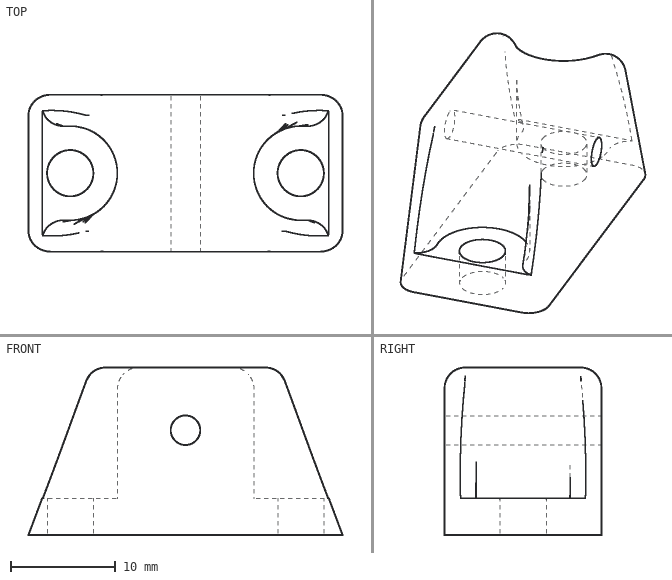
import cadquery as cq

length = 30.0
width = 15.0
height = 16.0
top_length = 18.0
edge_radius = 2.0

screw_spacing = 22.0
screw_hole_diameter = 4.4
pocket_diameter = 9.0
floor_height = 3.5

cross_hole_diameter = 2.8
cross_hole_height = 10.0

wide_width = 2 * width

screw_positions = [(-screw_spacing / 2, 0), (screw_spacing / 2, 0)]


def make_block(block_width):
    """Trapezoid in XZ, extruded symmetrically along Y."""
    outline = [
        (-length / 2, 0),
        (length / 2, 0),
        (top_length / 2, height),
        (-top_length / 2, height),
    ]
    return cq.Workplane("XZ").polyline(outline).close().extrude(block_width / 2, both=True)


def make_rounded_block():
    """Outer shape with every edge rounded except those of the bottom face."""
    return make_block(width).edges("not <Z").fillet(edge_radius)


def make_pocketed_block():
    """Wide block with a pocket at each end and every edge above the floors rounded."""
    pockets = (
        cq.Workplane("XY", origin=(0, 0, floor_height))
        .pushPoints(screw_positions)
        .circle(pocket_diameter / 2)
        .extrude(height - floor_height)
    )
    edges_above_floor = cq.selectors.BoxSelector(
        (-length / 2, -wide_width, floor_height + edge_radius),
        (length / 2, wide_width, height + edge_radius),
    )
    return make_block(wide_width).cut(pockets).edges(edges_above_floor).fillet(edge_radius)


def make_screw_holes():
    """Vertical holes on the pocket axes, through the pocket floors."""
    return cq.Workplane("XY").pushPoints(screw_positions).circle(screw_hole_diameter / 2).extrude(height)


def make_cross_hole():
    """Hole along Y, through both side faces."""
    return (
        cq.Workplane("XZ")
        .center(0, cross_hole_height)
        .circle(cross_hole_diameter / 2)
        .extrude(width, both=True)
    )


body = make_rounded_block().intersect(make_pocketed_block())
result = body.cut(make_screw_holes()).cut(make_cross_hole())